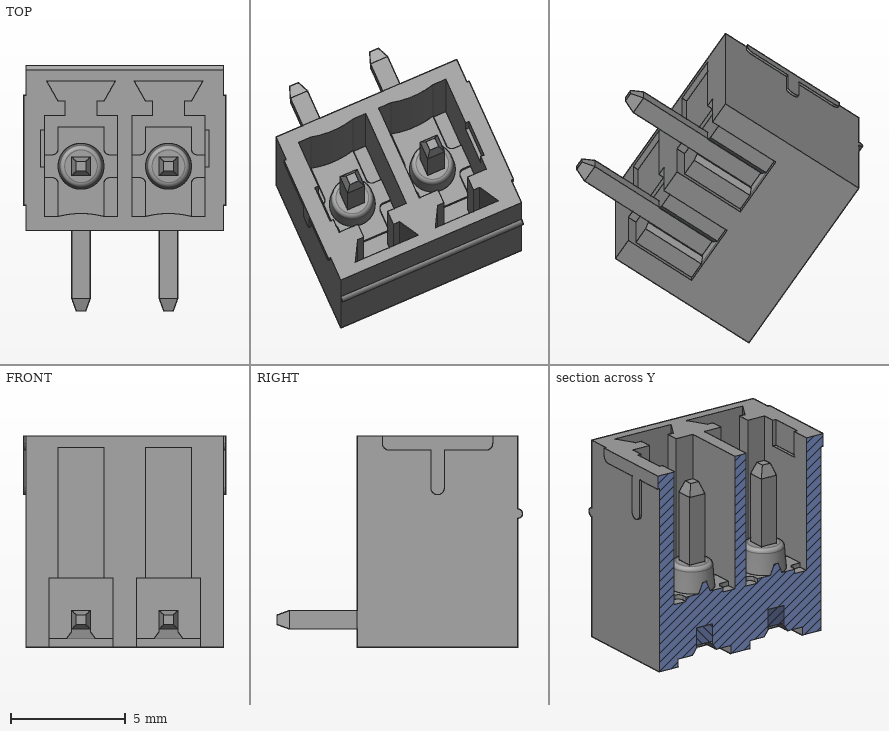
import cadquery as cq
import math


HOUSING_WIDTH = 8.6
HOUSING_DEPTH = 7.0
HOUSING_HEIGHT = 9.2
PITCH = 3.81
POLE_SIDES = (-1, 1)

PIN_SIZE = 0.81
PIN_CENTRE_Y = 2.8
PIN_CENTRE_Z = 1.2
PIN_REACH = 3.5
PIN_TOP = 8.09
TIP_LENGTH = 0.55
TIP_SIZE = 0.42

FLOOR_Z = 3.0
CAVITY_WIDTH = 3.2
CAVITY_FRONT_Y = 0.62
CAVITY_BACK_Y = 5.01
NECK_WIDTH = 1.41
NECK_BACK_Y = 5.64
DOVETAIL_FRONT_WIDTH = 2.0
DOVETAIL_BACK_WIDTH = 3.0
DOVETAIL_BACK_Y = 6.52
BULGE_WIDTH = 2.0
BULGE_RISE = 0.13

WALL_RECESS_FRONT_Y = 2.76
WALL_RECESS_BACK_Y = 4.39
WALL_RECESS_DEPTH = 0.16
WALL_RECESS_HEIGHT = 1.2

CROSS_BAR_WIDTH = 2.0
CROSS_BACK_Y = 4.52
CROSS_ARM_WIDTH = 1.0
CROSS_CORNER_RADIUS = 0.25
CROSS_HEIGHT = 0.2
COLLAR_BASE_RADIUS = CROSS_BAR_WIDTH / 2
COLLAR_HEIGHT = 1.18
COLLAR_DRAFT = 5.0
COLLAR_ROUND = 0.2

SLOT_WIDTH = 2.0
SLOT_DEPTH = 0.25
SLOT_TOP_Z = 8.71
POCKET_WIDTH = 2.77
POCKET_DEPTH = 0.4
POCKET_TOP_Z = 3.01
RECESS_HEIGHT = 0.37
NOTCH_FLARE_Z = 0.68
NOTCH_MOUTH_WIDTH = 1.26
NOTCH_END_TILT = 14.0

PAD_THICKNESS = 0.102
PAD_WIDTH = 4.8
PAD_HEIGHT = 0.62
PAD_CORNER_RADIUS = 0.3
STEM_WIDTH = 0.59
STEM_LENGTH = 2.56
RIDGE_RADIUS = 0.2
RIDGE_Z = 5.82


def box(x_range, y_range, z_range):
    """Axis-aligned box between the given limits."""
    (x0, x1), (y0, y1), (z0, z1) = x_range, y_range, z_range
    return cq.Workplane("XY").box(x1 - x0, y1 - y0, z1 - z0, centered=False).translate((x0, y0, z0))


def pole_box(width, y_range, z_range):
    """Box centred on X = 0, the middle of an unplaced pole."""
    return box((-width / 2, width / 2), y_range, z_range)


def tapered_tip():
    """Truncated pyramid at the origin that narrows upward."""
    return (
        cq.Workplane("XY").rect(PIN_SIZE, PIN_SIZE)
        .workplane(offset=TIP_LENGTH).rect(TIP_SIZE, TIP_SIZE)
        .loft(ruled=True)
    )


def bent_pin():
    """L-shaped square pin of the pole at X = 0, tapered at both ends."""
    half = PIN_SIZE / 2
    tail_y = -PIN_REACH + TIP_LENGTH
    post_z = PIN_TOP - TIP_LENGTH
    y_back = PIN_CENTRE_Y + half
    z_bottom = PIN_CENTRE_Z - half
    tail = pole_box(PIN_SIZE, (tail_y, y_back), (z_bottom, z_bottom + PIN_SIZE))
    post = pole_box(PIN_SIZE, (y_back - PIN_SIZE, y_back), (z_bottom, post_z))
    post_tip = tapered_tip().translate((0, PIN_CENTRE_Y, post_z))
    tail_tip = tapered_tip().rotate((0, 0, 0), (1, 0, 0), 90).translate((0, tail_y, PIN_CENTRE_Z))
    return tail.union(post).union(post_tip).union(tail_tip)


def cavity():
    """Open-topped cavity with a dovetail behind it and a bulge left on its front wall."""
    half = CAVITY_WIDTH / 2
    neck = NECK_WIDTH / 2
    dovetail_front = DOVETAIL_FRONT_WIDTH / 2
    dovetail_back = DOVETAIL_BACK_WIDTH / 2
    bulge = BULGE_WIDTH / 2
    outline = (
        cq.Workplane("XY", origin=(0, 0, FLOOR_Z))
        .moveTo(-bulge, CAVITY_FRONT_Y)
        .threePointArc((0, CAVITY_FRONT_Y + BULGE_RISE), (bulge, CAVITY_FRONT_Y))
        .lineTo(half, CAVITY_FRONT_Y)
        .lineTo(half, CAVITY_BACK_Y)
        .lineTo(neck, CAVITY_BACK_Y)
        .lineTo(neck, NECK_BACK_Y)
        .lineTo(dovetail_front, NECK_BACK_Y)
        .lineTo(dovetail_back, DOVETAIL_BACK_Y)
        .lineTo(-dovetail_back, DOVETAIL_BACK_Y)
        .lineTo(-dovetail_front, NECK_BACK_Y)
        .lineTo(-neck, NECK_BACK_Y)
        .lineTo(-neck, CAVITY_BACK_Y)
        .lineTo(-half, CAVITY_BACK_Y)
        .lineTo(-half, CAVITY_FRONT_Y)
        .close()
    )
    return outline.extrude(HOUSING_HEIGHT - FLOOR_Z)


def floor_cross():
    """Low cross on the cavity floor, rounded where its arms meet the long bar."""
    z_range = (FLOOR_Z, FLOOR_Z + CROSS_HEIGHT)
    arm_front = PIN_CENTRE_Y - CROSS_ARM_WIDTH / 2
    bar = pole_box(CROSS_BAR_WIDTH, (CAVITY_FRONT_Y, CROSS_BACK_Y), z_range)
    arms = pole_box(CAVITY_WIDTH, (arm_front, arm_front + CROSS_ARM_WIDTH), z_range)
    corner_zone = (CROSS_BAR_WIDTH + CAVITY_WIDTH) / 4
    inner_corners = cq.selectors.BoxSelector(
        (-corner_zone, PIN_CENTRE_Y - corner_zone, FLOOR_Z),
        (corner_zone, PIN_CENTRE_Y + corner_zone, FLOOR_Z + CROSS_HEIGHT),
    )
    return bar.union(arms).edges("|Z").edges(inner_corners).fillet(CROSS_CORNER_RADIUS)


def collar():
    """Tapered round collar on top of the cross, around the upright pin, with a rounded rim."""
    return (
        cq.Workplane("XY", origin=(0, PIN_CENTRE_Y, FLOOR_Z + CROSS_HEIGHT))
        .circle(COLLAR_BASE_RADIUS)
        .extrude(COLLAR_HEIGHT, taper=COLLAR_DRAFT)
        .faces(">Z").edges().fillet(COLLAR_ROUND)
    )


def wall_recess(side):
    """Recess in the outer cavity wall; side is -1 or 1 for the pole on that side."""
    wall_x = side * CAVITY_WIDTH / 2
    x_range = sorted((wall_x, wall_x + side * WALL_RECESS_DEPTH))
    return box(
        x_range,
        (WALL_RECESS_FRONT_Y, WALL_RECESS_BACK_Y),
        (HOUSING_HEIGHT - WALL_RECESS_HEIGHT, HOUSING_HEIGHT),
    )


def recess_back_y():
    """Y where the leaning end of the notch meets the underside recess."""
    drop = PIN_CENTRE_Z - PIN_SIZE / 2 - RECESS_HEIGHT
    return PIN_CENTRE_Y + PIN_SIZE / 2 + drop * math.tan(math.radians(NOTCH_END_TILT))


def pin_notch():
    """Flared notch below the pin; its end face leans back toward the underside."""
    half = PIN_SIZE / 2
    mouth = NOTCH_MOUTH_WIDTH / 2
    z_top = PIN_CENTRE_Z - half
    y_back = PIN_CENTRE_Y + half
    flared = (
        cq.Workplane("XZ")
        .polyline([
            (-half, z_top), (half, z_top), (half, NOTCH_FLARE_Z), (mouth, RECESS_HEIGHT),
            (-mouth, RECESS_HEIGHT), (-half, NOTCH_FLARE_Z),
        ])
        .close()
        .extrude(-HOUSING_DEPTH)
    )
    leaning_end = (
        cq.Workplane("YZ")
        .polyline([(0, z_top), (y_back, z_top), (recess_back_y(), RECESS_HEIGHT), (0, RECESS_HEIGHT)])
        .close()
        .extrude(mouth, both=True)
    )
    return flared.intersect(leaning_end)


def front_cuts():
    """Front slot, deeper pocket below it, underside recess and pin notch of one pole."""
    slot = pole_box(SLOT_WIDTH, (0, SLOT_DEPTH), (POCKET_TOP_Z, SLOT_TOP_Z))
    pocket = pole_box(POCKET_WIDTH, (0, POCKET_DEPTH), (0, POCKET_TOP_Z))
    recess = pole_box(POCKET_WIDTH, (0, recess_back_y()), (0, RECESS_HEIGHT))
    return slot.union(pocket).union(recess).union(pin_notch())


def side_pads():
    """T-shaped pads that stand out of both sides; one plate spans the whole width."""
    half_span = HOUSING_WIDTH / 2 + PAD_THICKNESS
    pad_front = (HOUSING_DEPTH - PAD_WIDTH) / 2
    stem_front = (HOUSING_DEPTH - STEM_WIDTH) / 2
    stem_bottom = HOUSING_HEIGHT - STEM_LENGTH
    x_range = (-half_span, half_span)
    bar = box(x_range, (pad_front, pad_front + PAD_WIDTH), (HOUSING_HEIGHT - PAD_HEIGHT, HOUSING_HEIGHT))
    bar = bar.edges("|X and <Z").fillet(PAD_CORNER_RADIUS)
    stem_end_z = stem_bottom + STEM_WIDTH / 2
    stem = box(x_range, (stem_front, stem_front + STEM_WIDTH), (stem_end_z, HOUSING_HEIGHT))
    stem_end = (
        cq.Workplane("YZ", origin=(0, HOUSING_DEPTH / 2, stem_end_z))
        .circle(STEM_WIDTH / 2)
        .extrude(half_span, both=True)
    )
    return bar.union(stem).union(stem_end)


def back_ridge():
    """Half-round ridge across the back; the other half of the rod lies inside the block."""
    return (
        cq.Workplane("YZ", origin=(0, HOUSING_DEPTH, RIDGE_Z))
        .circle(RIDGE_RADIUS)
        .extrude(HOUSING_WIDTH / 2, both=True)
    )


def build_housing():
    """Housing with both poles cut in and a matching channel for each pin."""
    block = pole_box(HOUSING_WIDTH, (0, HOUSING_DEPTH), (0, HOUSING_HEIGHT))
    block = block.union(side_pads()).union(back_ridge())
    for side in POLE_SIDES:
        place = (side * PITCH / 2, 0, 0)
        block = block.cut(cavity().union(wall_recess(side)).translate(place))
        block = block.union(floor_cross().union(collar()).translate(place))
        block = block.cut(front_cuts().translate(place))
        block = block.cut(bent_pin().translate(place))
    return block.solids()


housing = build_housing()
pins = [bent_pin().translate((side * PITCH / 2, 0, 0)).solids().val() for side in POLE_SIDES]

result = cq.Compound.makeCompound([housing.val(), *pins])